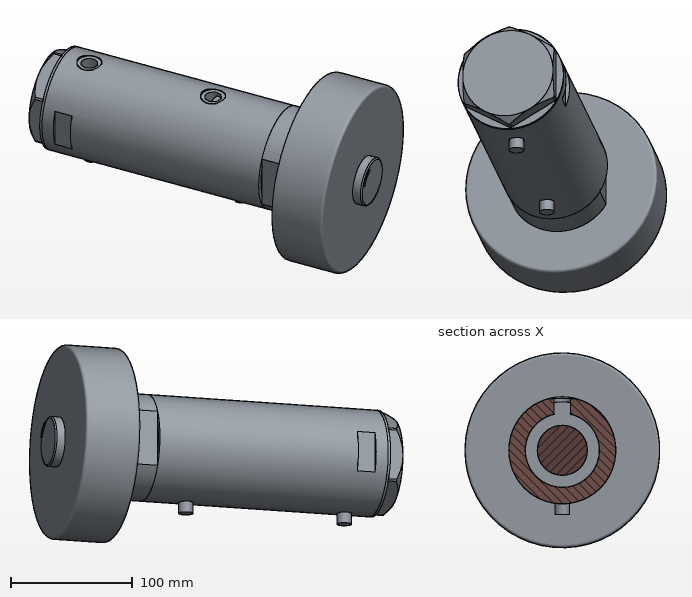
import cadquery as cq
import math


cap_collar_x = 12.7
tube_start_x = 14.7
tube_end_x = 211.0
flange_start_x = 239.0
flange_end_x = 285.2
rod_end_x = 293.5
overall_length = 294.3

tube_radius = 88.0 / 2
wrench_width = 75.3
flange_radius = 80.0
flange_edge_radius = 2.5
rod_radius = 20.5
rod_chamfer = 1.2

hexagon_sides = 6
cap_corner_radius = 43.0
cap_spigot_radius = 30.3
cap_spigot_end_x = 41.0

rod_spigot_radius = 39.7

rear_port_x = 37.0
front_port_x = 149.2
port_radius = 6.8
port_seat_radius = 10.3
port_seat_z = 42.5
rod_spigot_start_x = front_port_x

notch_start_x = 25.0
notch_end_x = 40.3
notch_width_across = 81.5

pin_centers_x = (38.8, 175.0)
pin_radius = 12.0 / 2
pin_inner_z = -41.2
pin_outer_z = -52.7

mark_inner_radius = 17.7
mark_outer_radius = 19.0
mark_half_angle = math.radians(23)
mark_center_angle = math.radians(135)


def x_cylinder(radius, start_x, end_x):
    return cq.Workplane("YZ").workplane(offset=start_x).circle(radius).extrude(end_x - start_x)


def z_cylinder(radius, center_x, low_z, high_z):
    return cq.Workplane("XY").workplane(offset=low_z).center(center_x, 0).circle(radius).extrude(high_z - low_z)


def across_flats_slab(start_x, end_x, width):
    """Block between two flats facing -Y and +Y, taller than the tube."""
    length = end_x - start_x
    return cq.Workplane("XY").box(length, width, 3 * tube_radius).translate((start_x + length / 2, 0, 0))


def make_cap():
    corner_to_corner = 2 * wrench_width / math.sqrt(3)
    hexagon = cq.Workplane("YZ").polygon(hexagon_sides, corner_to_corner).extrude(cap_collar_x)
    hexagon = hexagon.rotate((0, 0, 0), (1, 0, 0), 180 / hexagon_sides)
    corner_chamfer = cap_corner_radius - wrench_width / 2
    envelope = x_cylinder(cap_corner_radius, 0, cap_collar_x).faces("<X").chamfer(corner_chamfer)
    collar = x_cylinder(tube_radius, cap_collar_x, tube_start_x)
    spigot = x_cylinder(cap_spigot_radius, tube_start_x, cap_spigot_end_x)
    return hexagon.intersect(envelope).union(collar).union(spigot)


def make_pin(center_x):
    return z_cylinder(pin_radius, center_x, pin_outer_z, pin_inner_z)


def make_tube():
    tube = x_cylinder(tube_radius, tube_start_x, tube_end_x)
    tube = tube.cut(x_cylinder(cap_spigot_radius, tube_start_x, tube_end_x))
    tube = tube.cut(x_cylinder(rod_spigot_radius, rod_spigot_start_x, tube_end_x))
    for port_x in (rear_port_x, front_port_x):
        tube = tube.cut(z_cylinder(port_radius, port_x, 0, tube_radius))
        tube = tube.cut(z_cylinder(port_seat_radius, port_x, port_seat_z, tube_radius))
    notch_band = x_cylinder(tube_radius, notch_start_x, notch_end_x)
    tube = tube.cut(notch_band.cut(across_flats_slab(notch_start_x, notch_end_x, notch_width_across)))
    for pin_x in pin_centers_x:
        tube = tube.cut(make_pin(pin_x))
    return tube


def make_end_mark():
    def point(radius, side):
        angle = mark_center_angle + side * mark_half_angle
        return radius * math.cos(angle), radius * math.sin(angle)

    return (
        cq.Workplane("YZ").workplane(offset=rod_end_x)
        .moveTo(*point(mark_outer_radius, -1))
        .threePointArc(point(mark_outer_radius, 0), point(mark_outer_radius, 1))
        .lineTo(*point(mark_inner_radius, 1))
        .threePointArc(point(mark_inner_radius, 0), point(mark_inner_radius, -1))
        .close()
        .extrude(overall_length - rod_end_x)
    )


def make_flanged_rod():
    rod = x_cylinder(rod_radius, cap_spigot_end_x, rod_end_x).faces(">X").chamfer(rod_chamfer)
    spigot = x_cylinder(rod_spigot_radius, rod_spigot_start_x, tube_end_x)
    neck = x_cylinder(tube_radius, tube_end_x, flange_start_x)
    neck = neck.intersect(across_flats_slab(tube_end_x, flange_start_x, wrench_width))
    flange = x_cylinder(flange_radius, flange_start_x, flange_end_x).edges().fillet(flange_edge_radius)
    return rod.union(spigot).union(neck).union(flange).union(make_end_mark())


cap = make_cap()
tube = make_tube()
flanged_rod = make_flanged_rod()
pins = [make_pin(pin_x) for pin_x in pin_centers_x]

result = cq.Compound.makeCompound([cap.val(), tube.val(), flanged_rod.val(), *[pin.val() for pin in pins]])